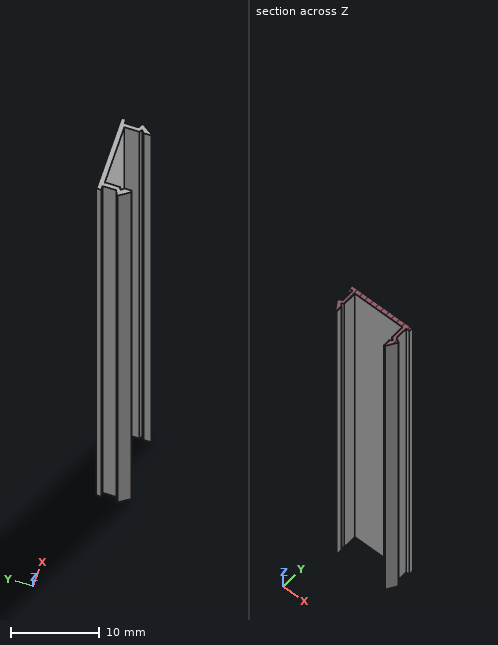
import cadquery as cq

length = 100.0
depth = 3.9
barb_half_width = 4.55

plate_half_width = 4.5
plate_edge_thickness = 0.6
web_thickness = 0.7

leg_outer = 4.0
leg_inner = 3.5
tip_outer = 3.7

barb_root = 2.2
barb_crest = 2.5
barb_shoulder = 2.6

groove_top = 2.5
groove_deepest = 2.7
groove_bottom = 3.0
groove_floor = 3.8

back = depth / 2


def at(x, distance_down):
    """Section point at a distance from the cover face toward the leg tips."""
    return (x, back - distance_down)


right_half = [
    at(plate_half_width, 0),
    at(plate_half_width, plate_edge_thickness),
    at(leg_outer, plate_edge_thickness),
    at(leg_outer, barb_root),
    at(barb_half_width, barb_crest),
    at(barb_half_width, barb_shoulder),
    at(tip_outer, depth),
    at(leg_inner, depth),
    at(leg_inner, groove_bottom),
    at(groove_floor, groove_deepest),
    at(leg_inner, groove_top),
    at(leg_inner, web_thickness),
]
left_half = [(-x, y) for x, y in reversed(right_half)]

result = (
    cq.Workplane("XY")
    .polyline(right_half + left_half)
    .close()
    .extrude(length)
    .translate((0, 0, -length / 2))
)